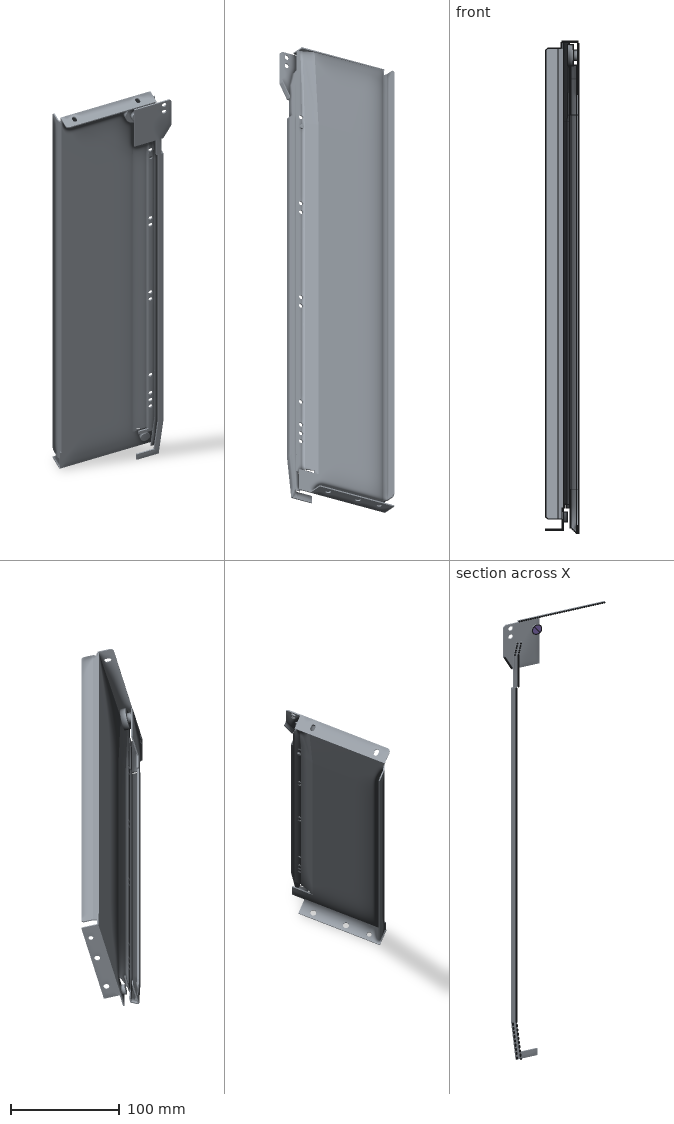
import cadquery as cq
import math


SHEET = 1.2
WIDTH_X = 30.39
REACH_Y = 105.5
LENGTH_Z = 452.0

BASE_FLANGE_Z = 2.6
STRIP_BOTTOM_Z = 13.0
STRIP_TOP_Z = 445.6
PROFILE_BOTTOM_Z = 23.0
LEAD_IN_TOP_Z = 40.0
LEAN_START_Z = 378.0
SHALLOW_START_Z = 384.0
SHALLOW_END_Z = 417.0
CHANNEL_TOP_Z = 430.0
SHEET_TOP_Z = LENGTH_Z - SHEET

HALF = SHEET / 2
STRIP_BEND_X = 11.0
WALL_X = 15.6
WALL_START_Y = 2.4
SLOPE_START_Y = 73.0
SLOPE_END_X = 19.2
SLOPE_END_Y = 85.2
STEP_X = 21.3
STEP_START_Y = 86.8
LEDGE_Y = 92.6
RISER_X = 22.7
CHANNEL_Y = 97.5 - HALF
WEB_X = WIDTH_X - HALF
WEB_EDGE_Y = 92.5
HEM_X = 28.3

WALL_LEAN = 1.0
TOP_SLOPE_SHIFT = 3.5
TOP_STEP_SHIFT = 2.0
TOP_SLOPE_SHARE = 0.85

LEAD_IN_DROP = 4.6
SHALLOW_DROP = 2.0
TOP_DROP = 5.0

BASE_WALL_Y = 93.5
BASE_FLANGE_Y = 81.0
BASE_HOLES = [(5.7, 68.5, 5.5), (5.7, 36.0, 5.5), (5.7, 13.0, 4.5)]
NOTCH_Y = (76.5, 85.5)
NOTCH_HEIGHT = 3.5
STUD_DIAMETER = 9.5
STUD_END_X = 20.0
STUD_YZ = (84.0, 15.0)
FOOT_Y = (71.0, 93.0)
FOOT_HEIGHT = 7.0
CHANNEL_END_BEVEL = 5.0

TOP_FLANGE_Y = (1.5, 91.0)
TOP_FLANGE_CORNER = 3.0
TOP_SLOTS = [(21.9, 12.6), (21.9, 75.6)]
TOP_SLOT_LENGTH = 6.6
TOP_SLOT_WIDTH = 4.0
EAR_BOTTOM_Z = 403.0
EAR_TOP_Z = 449.8
EAR_START_Y = 68.7
EAR_SLANT_Z = 417.0
EAR_SLANT_Y = 97.5
EAR_CORNER = 2.0
EAR_HOLE_Y = 98.3
EAR_HOLE_HEIGHTS = (445.3, 436.8)
EAR_HOLE_DIAMETER = 4.6
EAR_LIP_X = 25.4

STEP_HOLE_Y = 88.4
STEP_HOLE_DIAMETER = 4.0
STEP_HOLE_HEIGHTS = (54.9, 63.0, 71.9, 95.0, 192.4, 201.2, 287.7, 296.5, 374.0, 383.8)

STRIP_CORNER = 2.0

ROLLER_DIAMETER = 20.0
ROLLER_X = (20.2, 25.5)
AXLE_DIAMETER = 10.0
ROLLER_YZ = (72.0, 439.0)


def box(x, y, z):
    """Box between the two limits given for each axis."""
    size = [limits[1] - limits[0] for limits in (x, y, z)]
    return cq.Workplane("XY").box(*size, centered=False).translate((x[0], y[0], z[0]))


def x_cylinder(x, centre_yz, diameter):
    """Cylinder along X between two X limits."""
    plane = cq.Workplane("YZ", origin=(x[0], 0, 0))
    return plane.center(*centre_yz).circle(diameter / 2).extrude(x[1] - x[0])


def offset_side(line, distance):
    """Points of an open line moved sideways, with mitred corners."""
    normals = []
    for (x0, y0), (x1, y1) in zip(line, line[1:]):
        length = math.hypot(x1 - x0, y1 - y0)
        normals.append(((y0 - y1) / length, (x1 - x0) / length))
    before = [normals[0]] + normals
    after = normals + [normals[-1]]
    side = []
    for (x, y), (ax, ay), (bx, by) in zip(line, before, after):
        mitre = distance / (1 + ax * bx + ay * by)
        side.append((x + mitre * (ax + bx), y + mitre * (ay + by)))
    return side


def folded_outline(line):
    """Closed outline of a sheet whose centre line is given."""
    return offset_side(line, HALF) + offset_side(line, -HALF)[::-1]


def folded_sheet(line_low, z_low, line_high, z_high):
    """Sheet that runs straight from one centre line to another higher up."""
    lower = cq.Workplane("XY", origin=(0, 0, z_low)).polyline(folded_outline(line_low)).close()
    upper = lower.workplane(offset=z_high - z_low).polyline(folded_outline(line_high)).close()
    return upper.loft(ruled=True, combine=True)


def wall_line():
    """Front strip, wall, slope, jog and step."""
    return [
        (0, HALF),
        (STRIP_BEND_X, HALF),
        (WALL_X, WALL_START_Y),
        (WALL_X, SLOPE_START_Y),
        (SLOPE_END_X, SLOPE_END_Y),
        (STEP_X, STEP_START_Y),
        (STEP_X, LEDGE_Y),
    ]


def top_wall_line():
    """The same sheet at its upper end, where the wall is skewed and the slope takes in the jog."""
    slope_start = (WALL_X + WALL_LEAN, SLOPE_START_Y + TOP_SLOPE_SHIFT)
    step_start = (STEP_X, STEP_START_Y + TOP_STEP_SHIFT)
    slope_end = tuple(a + TOP_SLOPE_SHARE * (b - a) for a, b in zip(slope_start, step_start))
    return wall_line()[:3] + [slope_start, slope_end, step_start, (STEP_X, LEDGE_Y)]


def channel_line(drop=0.0):
    """Riser, channel floor, web and its hem, moved toward -Y by the drop."""
    return [
        (RISER_X, LEDGE_Y - HALF - drop),
        (RISER_X, CHANNEL_Y - drop),
        (WEB_X, CHANNEL_Y - drop),
        (WEB_X, WEB_EDGE_Y + HALF - drop),
        (HEM_X, WEB_EDGE_Y + HALF - drop),
    ]


def long_profile():
    """Wall and channel, joined by the ledge."""
    wall = folded_sheet(wall_line(), PROFILE_BOTTOM_Z, wall_line(), LEAN_START_Z)
    wall = wall.union(folded_sheet(wall_line(), LEAN_START_Z, top_wall_line(), SHEET_TOP_Z))
    wall = wall.cut(box((0, WALL_X - HALF), (0, WALL_START_Y), (STRIP_TOP_Z, SHEET_TOP_Z)))

    ledge_x = (STEP_X - HALF, RISER_X + HALF)
    ledge_y = (LEDGE_Y - HALF, LEDGE_Y + HALF)
    ledge = box(ledge_x, ledge_y, (PROFILE_BOTTOM_Z, CHANNEL_TOP_Z))
    deep = channel_line()
    shallow = channel_line(SHALLOW_DROP)
    lead_in = folded_sheet(channel_line(LEAD_IN_DROP), 0, deep, LEAD_IN_TOP_Z)
    channel = lead_in.cut(channel_end_bevel())
    channel = channel.union(folded_sheet(deep, LEAD_IN_TOP_Z, deep, SHALLOW_START_Z))
    channel = channel.union(folded_sheet(shallow, SHALLOW_START_Z, shallow, SHALLOW_END_Z))
    channel = channel.union(folded_sheet(shallow, SHALLOW_END_Z, channel_line(TOP_DROP), CHANNEL_TOP_Z))
    return wall.union(ledge).union(channel)


def channel_end_bevel():
    """Slanted cut across the lower end of the channel, leaving the web full length."""
    left = RISER_X - HALF - 1
    right = HEM_X
    top = CHANNEL_END_BEVEL
    outline = [(left, 0), (right, 0), (right - top, top), (left, top)]
    return cq.Workplane("XZ").polyline(outline).close().extrude(-REACH_Y)


def lower_end():
    """Flat wall end, base flange with its holes, strip end, web foot and stud."""
    wall_x = (WALL_X - HALF, WALL_X + HALF)
    wall = box(wall_x, (HALF, BASE_WALL_Y), (BASE_FLANGE_Z, PROFILE_BOTTOM_Z))
    strip = folded_sheet(wall_line()[:4], STRIP_BOTTOM_Z, wall_line()[:4], PROFILE_BOTTOM_Z)
    flange = box((0, wall_x[1]), (0, BASE_FLANGE_Y), (BASE_FLANGE_Z, BASE_FLANGE_Z + SHEET))
    for x, y, diameter in BASE_HOLES:
        flange = flange.cut(cq.Workplane("XY").center(x, y).circle(diameter / 2).extrude(STRIP_BOTTOM_Z))
    foot = box((WEB_X - HALF, WIDTH_X), FOOT_Y, (0, FOOT_HEIGHT))
    stud = x_cylinder((WALL_X, STUD_END_X), STUD_YZ, STUD_DIAMETER)
    return wall.union(strip).union(flange).union(foot).union(stud)


def top_flange():
    """Flange across the upper end, with two slots."""
    flange = box((WALL_X - HALF, WEB_X), TOP_FLANGE_Y, (SHEET_TOP_Z, LENGTH_Z))
    flange = flange.edges("|Z and >X and <Y").fillet(TOP_FLANGE_CORNER)
    slots = (
        cq.Workplane("XY", origin=(0, 0, SHEET_TOP_Z))
        .pushPoints(TOP_SLOTS)
        .slot2D(TOP_SLOT_LENGTH, TOP_SLOT_WIDTH)
        .extrude(SHEET)
    )
    return flange.cut(slots)


def ear():
    """Plate at the upper end of the web, with two holes and a lip along its slanted edge."""
    plane = cq.Workplane("YZ", origin=(WEB_X - HALF, 0, 0))
    outline = [
        (EAR_START_Y, EAR_BOTTOM_Z),
        (EAR_SLANT_Y, EAR_BOTTOM_Z),
        (REACH_Y, EAR_SLANT_Z),
        (REACH_Y, EAR_TOP_Z),
        (EAR_START_Y, EAR_TOP_Z),
    ]
    plate = plane.polyline(outline).close().extrude(SHEET)
    plate = plate.edges("|X and >Y and >Z").chamfer(EAR_CORNER)
    holes = [(EAR_HOLE_Y, z) for z in EAR_HOLE_HEIGHTS]
    plate = plate.cut(plane.pushPoints(holes).circle(EAR_HOLE_DIAMETER / 2).extrude(SHEET))

    lip_outline = [
        (EAR_SLANT_Y, EAR_BOTTOM_Z),
        (REACH_Y, EAR_SLANT_Z),
        (REACH_Y, EAR_SLANT_Z + 2 * SHEET),
        (EAR_SLANT_Y, EAR_BOTTOM_Z + 2 * SHEET),
    ]
    lip_plane = cq.Workplane("YZ", origin=(EAR_LIP_X, 0, 0))
    lip = lip_plane.polyline(lip_outline).close().extrude(WIDTH_X - EAR_LIP_X)
    return plate.union(lip)


def step_holes():
    """Row of holes through the step."""
    plane = cq.Workplane("YZ", origin=(STEP_X - 2 * SHEET, 0, 0))
    places = [(STEP_HOLE_Y, z) for z in STEP_HOLE_HEIGHTS]
    return plane.pushPoints(places).circle(STEP_HOLE_DIAMETER / 2).extrude(4 * SHEET)


def strip_corner(z, inward):
    """Triangle to cut from a free corner of the front strip."""
    outline = [(0, z), (STRIP_CORNER, z), (0, z + inward * STRIP_CORNER)]
    return cq.Workplane("XZ").polyline(outline).close().extrude(-SHEET)


def drawer_side():
    """The whole folded sheet as one solid."""
    side = long_profile().union(lower_end()).union(top_flange()).union(ear())
    notch_z = (PROFILE_BOTTOM_Z, PROFILE_BOTTOM_Z + NOTCH_HEIGHT)
    notch = box((WALL_X, RISER_X - HALF), NOTCH_Y, notch_z)
    tab = box((STEP_X - HALF, STEP_X + HALF), (NOTCH_Y[0], STEP_START_Y), notch_z)
    for z, inward in ((STRIP_BOTTOM_Z, 1), (STRIP_TOP_Z, -1)):
        side = side.cut(strip_corner(z, inward))
    return side.cut(step_holes()).cut(notch).union(tab)


def roller():
    """Roller and its axle stub, which meets the ear."""
    wheel = x_cylinder(ROLLER_X, ROLLER_YZ, ROLLER_DIAMETER)
    axle = x_cylinder((ROLLER_X[1], WEB_X - HALF), ROLLER_YZ, AXLE_DIAMETER)
    return wheel.union(axle)


side_body = drawer_side()
roller_body = roller()
result = cq.Compound.makeCompound([side_body.val(), roller_body.val()])